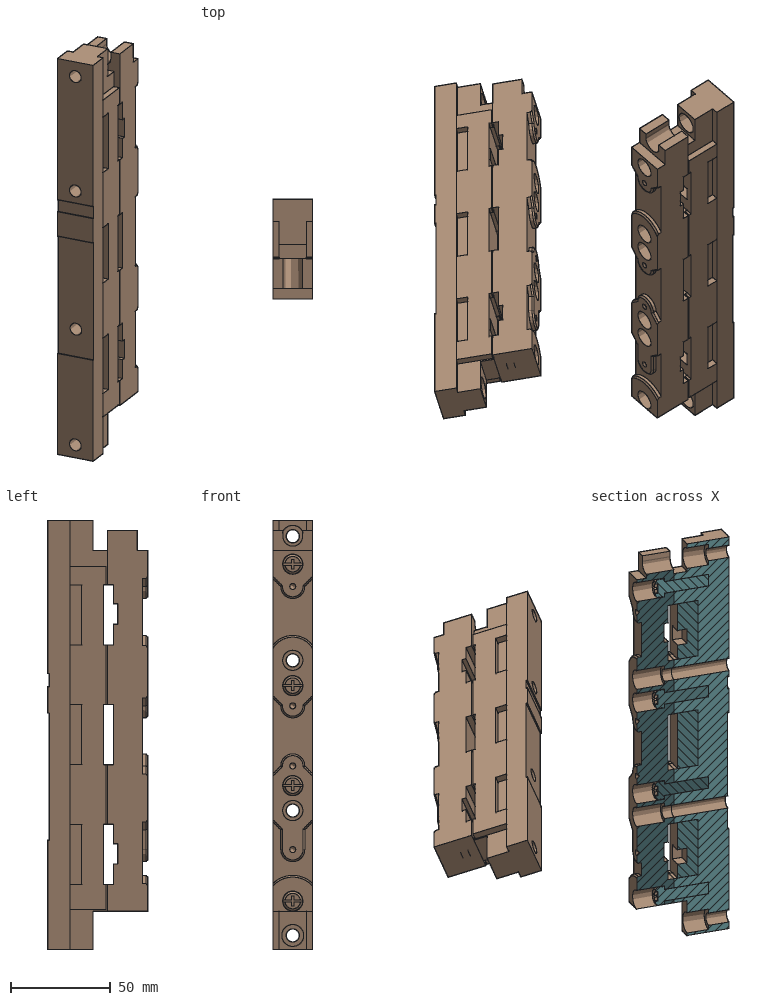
import cadquery as cq
import math


width = 20.0
length = 215
total_depth = 50.0

plate_depth = 11.2
stem_width = 13.5
stem_depth = 22.8
rib_depth = 29.9
rib_bottom = 19.1
rib_top = 200.0
back_relief_depth = 0.6
back_relief_spans = [(54.8, 118.5), (131.8, 138.2)]

saddle_depth = 29.2
saddle_bottom = 20.0
saddle_top = 192.0
saddle_pocket_depth = 17.0
window_floor_depth = 28.0
crossbar_recess_height = 7.7

housing_top = 210.0
end_block_depth = 45.0
housing_face_depth = 47.5
seat_depth = 35.0
window_roof_depth = 33.0
window_length = 30.0
window_pitch = 60.0
middle_window_z = 107.7
window_centres = [middle_window_z + step * window_pitch for step in (1, 0, -1)]
step_notch_depth = 35.0
step_notch_length = 10.0
step_notch_centres = [168.1, 48.0]

pad_chamfer = 0.9
pad_overhang = 2.2
pad_width = width + 2 * pad_overhang
lobe_radius = 6.0
flare_drop = width / 2 - lobe_radius
upper_round_radius = 12.5
lower_round_radius = 14.2
lower_round_z = 23.0
long_lobe_neck_z = 60.0

mount_hole_diameter = 6.5
base_bore_diameter = 11.0
end_groove_diameter = 9.9
housing_bore_diameter = 10.0
base_hole_heights = [7.0, 207.0]
housing_hole_heights = [69.7, 145.0]

dimple_diameter = 3.0
dimple_cone_depth = 1.5
dimple_heights = [181.9, 122.1, 92.0, 50.0]

screw_heights = [193.0, 132.2, 82.1, 24.3]
head_diameter = 9.9
head_height = 5.0
head_chamfer = 1.0
shank_diameter = 6.0
shank_tip_depth = plate_depth
drive_slot_width = 1.0
drive_slot_depth = 1.5
cross_slot_length = 5.0


def block(block_width, back, front, bottom, top):
    """Box centred on X between two depths and two heights."""
    return (
        cq.Workplane("XY")
        .box(block_width, front - back, top - bottom, centered=(True, False, False))
        .translate((0, -front, bottom))
    )


def rod(diameter, back, front, height):
    """Cylinder along Y between two depths."""
    return (
        cq.Workplane("XZ", origin=(0, -back, height))
        .circle(diameter / 2)
        .extrude(front - back)
    )


def centred_block(block_width, back, front, centre, block_length):
    """Box given by its middle height and its length along Z."""
    return block(block_width, back, front, centre - block_length / 2, centre + block_length / 2)


def make_screw(height):
    """Screw with a chamfered head, a full-width slot and a short cross slot."""
    head_top = seat_depth + head_height
    head = rod(head_diameter, seat_depth, head_top, height).faces("<Y").chamfer(head_chamfer)
    shank = rod(shank_diameter, shank_tip_depth, seat_depth, height)
    slot_floor = head_top - drive_slot_depth
    long_slot = centred_block(head_diameter, slot_floor, head_top, height, drive_slot_width)
    cross_slot = centred_block(drive_slot_width, slot_floor, head_top, height, cross_slot_length)
    return head.union(shank).cut(long_slot).cut(cross_slot)


def make_base():
    """Back plate with stem and rib, open windows in the rib, and all mounting holes."""
    base = block(width, 0, plate_depth, 0, length)
    base = base.union(block(stem_width, 0, stem_depth, 0, length))
    base = base.union(block(stem_width, 0, rib_depth, rib_bottom, rib_top))
    for bottom, top in back_relief_spans:
        base = base.cut(block(width, 0, back_relief_depth, bottom, top))
    for centre in window_centres:
        base = base.cut(centred_block(stem_width, saddle_pocket_depth, rib_depth, centre, window_length))
    for height in base_hole_heights:
        base = base.cut(rod(base_bore_diameter, plate_depth, rib_depth, height))
    for height in base_hole_heights + housing_hole_heights:
        base = base.cut(rod(mount_hole_diameter, 0, rib_depth, height))
    for height in screw_heights:
        base = base.cut(rod(shank_diameter, shank_tip_depth, rib_depth, height))
    return base


def make_saddle():
    """Two cheeks joined by a crossbar in each rib window; the outer crossbars are recessed."""
    saddle = block(width, plate_depth, saddle_depth, saddle_bottom, saddle_top)
    saddle = saddle.cut(block(stem_width, plate_depth, saddle_depth, saddle_bottom, saddle_top))
    for centre in window_centres:
        crossbar = centred_block(
            stem_width, saddle_pocket_depth, window_floor_depth, centre, window_length
        )
        pocket = centred_block(width, plate_depth, saddle_pocket_depth, centre, window_length)
        window = centred_block(width, window_floor_depth, saddle_depth, centre, window_length)
        saddle = saddle.union(crossbar).cut(pocket).cut(window)
    for centre in step_notch_centres:
        recess_floor = centre - crossbar_recess_height
        saddle = saddle.cut(block(stem_width, stem_depth, window_floor_depth, recess_floor, centre))
    return saddle



def lobe(dimple_z, neck_z, flat_z):
    """Rounded neck around a dimple that flares out at 45 degrees, ending straight at flat_z."""
    direction = math.copysign(1, flat_z - dimple_z)
    flare_end = neck_z + direction * (flare_drop + pad_overhang)
    outline = [
        (-lobe_radius, dimple_z),
        (-lobe_radius, neck_z),
        (-pad_width / 2, flare_end),
        (-pad_width / 2, flat_z),
        (pad_width / 2, flat_z),
        (pad_width / 2, flare_end),
        (lobe_radius, neck_z),
        (lobe_radius, dimple_z),
    ]
    if neck_z == dimple_z:
        outline = outline[1:-1]
    lobe_tip = (0, dimple_z - direction * lobe_radius)
    return (
        cq.Workplane("XZ", origin=(0, -housing_face_depth, 0))
        .polyline(outline)
        .threePointArc(lobe_tip, outline[0])
        .close()
        .extrude(total_depth - housing_face_depth)
    )


def disc(radius, centre_z):
    """Pad end bounded by a large arc that runs off both sides of the housing."""
    return rod(2 * radius, housing_face_depth, total_depth, centre_z)


def chamfered(pad):
    """Pad with its raised outline broken by a chamfer."""
    return pad.faces("<Y").chamfer(pad_chamfer)


def make_pads():
    """The four raised pads, trimmed to the housing face."""
    top_dimple, second_dimple, third_dimple, bottom_dimple = dimple_heights
    lower_hole, upper_hole = housing_hole_heights
    pads = [
        lobe(top_dimple, top_dimple, rib_top + pad_overhang),
        lobe(second_dimple, second_dimple, upper_hole).union(disc(upper_round_radius, upper_hole)),
        lobe(third_dimple, third_dimple, lower_hole).union(
            lobe(bottom_dimple, long_lobe_neck_z, lower_hole)
        ),
        disc(lower_round_radius, lower_round_z),
    ]
    face_area = block(width, housing_face_depth, total_depth, rib_bottom, rib_top)
    return [chamfered(pad).intersect(face_area) for pad in pads]


def make_housing():
    """Front bar with pads, side windows, end groove, counterbored holes and dimples."""
    housing = block(width, rib_depth, housing_face_depth, rib_bottom, rib_top)
    housing = housing.union(block(width, rib_depth, end_block_depth, rib_top, housing_top))
    for pad in make_pads():
        housing = housing.union(pad)
    for centre in window_centres:
        housing = housing.cut(centred_block(width, rib_depth, window_roof_depth, centre, window_length))
    for centre in step_notch_centres:
        housing = housing.cut(centred_block(width, rib_depth, step_notch_depth, centre, step_notch_length))

    groove_z = base_hole_heights[1]
    housing = housing.cut(rod(end_groove_diameter, rib_depth, total_depth, groove_z))
    housing = housing.cut(block(end_groove_diameter, rib_depth, total_depth, groove_z, housing_top))

    for height in screw_heights + housing_hole_heights:
        housing = housing.cut(rod(housing_bore_diameter, seat_depth, total_depth, height))
    for height in housing_hole_heights:
        housing = housing.cut(rod(mount_hole_diameter, rib_depth, seat_depth, height))
    for height in screw_heights:
        housing = housing.cut(rod(shank_diameter, rib_depth, seat_depth, height))
    for height in dimple_heights:
        dimple = cq.Solid.makeCone(
            dimple_diameter / 2,
            0,
            dimple_cone_depth,
            pnt=cq.Vector(0, -total_depth, height),
            dir=cq.Vector(0, 1, 0),
        )
        housing = housing.cut(cq.Workplane(dimple))
    return housing


base = make_base()
saddle = make_saddle()
housing = make_housing()
screws = [make_screw(height) for height in screw_heights]

result = cq.Compound.makeCompound(
    [base.val(), saddle.val(), housing.val(), *[screw.val() for screw in screws]]
)